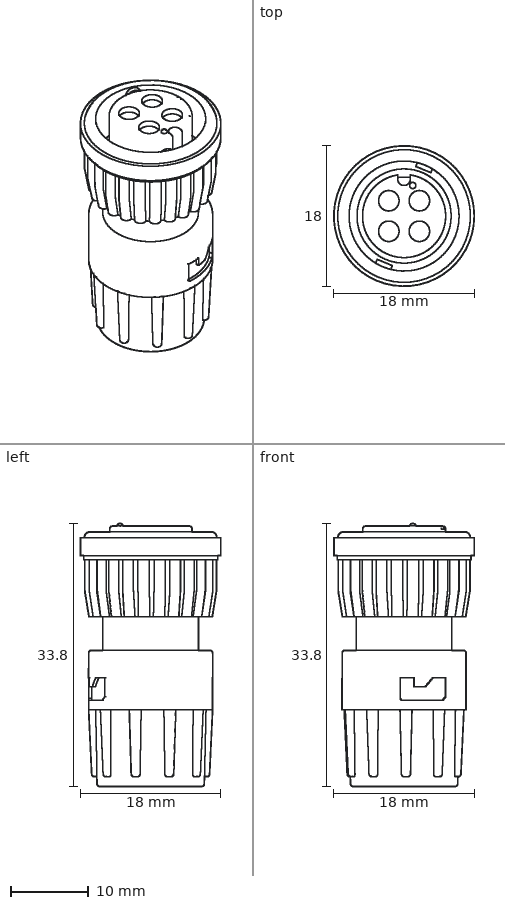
import cadquery as cq

grip_base_radius = 6.9
grip_top_radius = 7.12
base_round = 0.4
collar_bottom_z = 9.85
collar_top_z = 17.5
collar_radius = 7.97
collar_round = 0.37
neck_radius = 6.15

rib_count = 10
rib_first_angle = 20
rib_top_radius = 0.78
rib_bottom_radius = 0.57
rib_top_reach = 7.97
rib_bottom_reach = 7.55
rib_bottom_z = 1.28
rib_tip_round = 0.35

window_angle = 104
window_left = -2.4
window_right = 3.78
window_bottom_z = 11.1
window_top_z = 13.98
window_left_corner = 0.2
window_right_corner = 0.4
window_depth = 0.4
tooth_bottom_z = 12.8
tooth_left = -0.6
tooth_right = 0.85
tooth_slope_run = 1.08

nut_bottom_z = 21.78
knurl_bend_z = 25.1
knurl_top_z = 29.07
flange_bottom_z = 29.6
flange_top_z = 31.95
nut_top_z = 32.68
nut_radius = 8.5
nut_lip_radius = 8.6
flange_radius = 9.0
nut_round = nut_top_z - flange_top_z
nut_bore_radius = 7.05
bore_floor_z = 26.33

ridge_count = 24
ridge_first_angle = 8.5
ridge_radius = 0.75
ridge_lean = 0.55
valley_radius = 7.9

insert_radius = 5.35
insert_top_z = 33.42
insert_round = 0.4
contact_offset = 1.95
contact_radius = 1.3
contact_depth = 0.85
keyway_radius = 0.8
keyway_center_y = 4.73
seal_inner_radius = 5.0
seal_outer_radius = 6.05
dot_x = 1.1
dot_y = 3.9
dot_radius = 0.4
dot_height = 0.35

pin_angle = 67.5
pin_radius = 1.05
pin_inner_reach = 6.45
pin_center_z = 31.45


def disc(radius, bottom_z, top_z):
    return cq.Workplane("XY").workplane(offset=bottom_z).circle(radius).extrude(top_z - bottom_z)


def cone(bottom_radius, top_radius, bottom_z, top_z):
    profile = [(0, bottom_z), (bottom_radius, bottom_z), (top_radius, top_z), (0, top_z)]
    return cq.Workplane("XZ").polyline(profile).close().revolve(360, (0, 0), (0, 1))


def turn(shape, angle):
    return shape.rotate((0, 0, 0), (0, 0, 1), angle)


def ring_of(shape, count, first_angle):
    copies = [turn(shape, first_angle + i * 360 / count) for i in range(count)]
    return cq.Workplane(obj=cq.Compound.makeCompound([copy.val() for copy in copies]))


def make_body():
    grip = cone(grip_base_radius, grip_top_radius, 0, collar_bottom_z).faces("<Z").edges().fillet(base_round)
    collar = disc(collar_radius, collar_bottom_z, collar_top_z).faces(">Z").edges().fillet(collar_round)
    neck = disc(neck_radius, collar_top_z, nut_bottom_z)
    return grip.union(collar).union(neck)


def make_rib():
    """A tapered bar on the -X side whose axis leans with the grip, rounded at its lower tip."""
    top_center = rib_top_reach - rib_top_radius
    bottom_center = rib_bottom_reach - rib_bottom_radius
    bar = (
        cq.Workplane("XY", origin=(-bottom_center, 0, rib_bottom_z))
        .circle(rib_bottom_radius)
        .workplane(offset=collar_bottom_z - rib_bottom_z)
        .center(bottom_center - top_center, 0)
        .circle(rib_top_radius)
        .loft(ruled=True)
    )
    return bar.faces("<Z").edges().fillet(rib_tip_round)


def make_window_cutter():
    """Recess facing +X: the window outline swept inward, stopping on a floor concentric with the collar."""
    outline = [
        (window_left + window_left_corner, window_bottom_z),
        (window_right - window_right_corner, window_bottom_z),
        (window_right, window_bottom_z + window_right_corner),
        (window_right, window_top_z),
        (tooth_right + tooth_slope_run, window_top_z),
        (tooth_right, tooth_bottom_z),
        (tooth_left, tooth_bottom_z),
        (tooth_left, window_top_z),
        (window_left, window_top_z),
        (window_left, window_bottom_z + window_left_corner),
    ]
    prism = cq.Workplane("YZ").polyline(outline).close().extrude(2 * collar_radius)
    return prism.cut(disc(collar_radius - window_depth, collar_bottom_z, collar_top_z))


def make_ridge():
    """One knurl ridge along +X: upright above the bend, leaning toward the axis below it."""
    center = nut_radius - ridge_radius
    upright = cq.Workplane("XY", origin=(center, 0, knurl_bend_z)).circle(ridge_radius)
    upright = upright.extrude(knurl_top_z - knurl_bend_z)
    leaning = (
        cq.Workplane("XY", origin=(center - ridge_lean, 0, nut_bottom_z))
        .circle(ridge_radius)
        .workplane(offset=knurl_bend_z - nut_bottom_z)
        .center(ridge_lean, 0)
        .circle(ridge_radius)
        .loft(ruled=True)
    )
    return upright.union(leaning)


def make_nut():
    tapered_core = cone(valley_radius - ridge_lean, valley_radius, nut_bottom_z, knurl_bend_z)
    straight_core = disc(valley_radius, knurl_bend_z, knurl_top_z)
    lip = disc(nut_lip_radius, knurl_top_z, flange_bottom_z)
    flange = disc(flange_radius, flange_bottom_z, flange_top_z)
    crown = disc(nut_radius, flange_bottom_z, nut_top_z).faces(">Z").edges().fillet(nut_round)
    nut = tapered_core.union(straight_core).union(lip).union(flange).union(crown)
    nut = nut.union(ring_of(make_ridge(), ridge_count, ridge_first_angle))
    return nut.cut(disc(nut_bore_radius, bore_floor_z, nut_top_z))


def make_pin():
    """A round pin along +X, rooted in the nut wall and reaching into the bore."""
    root = (nut_bore_radius + nut_radius) / 2
    pin = cq.Workplane("YZ", origin=(pin_inner_reach, 0, pin_center_z)).circle(pin_radius)
    return pin.extrude(root - pin_inner_reach)


def make_insert():
    """Contact block with four blind holes and a keyway, a seal ring at its foot and a raised index dot."""
    insert = disc(insert_radius, bore_floor_z, insert_top_z).faces(">Z").edges().fillet(insert_round)
    contacts = (
        cq.Workplane("XY").workplane(offset=insert_top_z)
        .rect(2 * contact_offset, 2 * contact_offset, forConstruction=True)
        .vertices().circle(contact_radius).extrude(-contact_depth)
    )
    keyway_end = cq.Workplane("XY", origin=(0, keyway_center_y, bore_floor_z)).circle(keyway_radius)
    keyway_end = keyway_end.extrude(insert_top_z - bore_floor_z)
    keyway_mouth = cq.Workplane("XY", origin=(0, keyway_center_y, bore_floor_z)).box(
        2 * keyway_radius, insert_radius, insert_top_z - bore_floor_z, centered=(True, False, False)
    )
    insert = insert.cut(contacts).cut(keyway_end).cut(keyway_mouth)
    seal_center_radius = (seal_outer_radius + seal_inner_radius) / 2
    seal_radius = (seal_outer_radius - seal_inner_radius) / 2
    seal_center = cq.Vector(0, 0, bore_floor_z)
    seal = cq.Workplane(obj=cq.Solid.makeTorus(seal_center_radius, seal_radius, seal_center))
    dot_center_z = insert_top_z + dot_height - dot_radius
    dot = cq.Workplane("XY", origin=(dot_x, dot_y, dot_center_z)).sphere(dot_radius)
    return insert.union(seal).union(dot)


body = make_body().union(ring_of(make_rib(), rib_count, rib_first_angle))
for angle in (window_angle, window_angle + 180):
    body = body.cut(turn(make_window_cutter(), angle))

nut = make_nut()
for angle in (pin_angle, pin_angle + 180):
    nut = nut.union(turn(make_pin(), angle))

result = body.union(nut).union(make_insert())